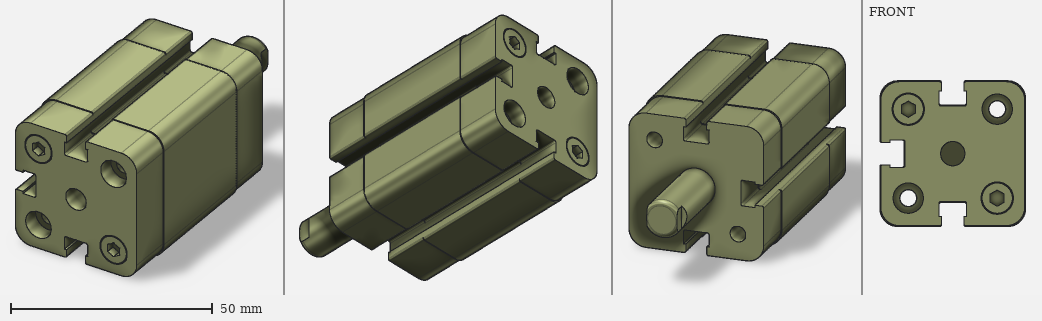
import cadquery as cq
import math

total_length = 82.5
rod_length = 24.4
cap_length = 12.2
front_y = -total_length / 2
rod_tip_y = total_length / 2
body_length = total_length - rod_length
body_back_y = front_y + body_length
barrel_length = body_length - 2 * cap_length

barrel_width = 36.1
cap_inset = 0.25
cap_width = barrel_width - 2 * cap_inset
corner_radius = 4.5

slot_mouth_width = 5.5
slot_inner_width = 6.8
slot_lip_depth = 2.55
slot_depth = 6.0
slot_round = 0.5
slot_angles = (0, 90, 180)

rod_diameter = 10.0
rod_tip_round = 1.2
rod_flat_width = 8.0
rod_flat_length = 3.4
flat_runout = (rod_diameter - rod_flat_width) / 2

bolt_spacing = 22.0
through_diameter = 4.1
counterbore_diameter = 7.5
counterbore_depth = 4.6
screw_head_diameter = 7.5
screw_pocket_diameter = 8.0
screw_pocket_depth = 4.6
hex_across_flats = 3.5
hex_depth = 2.5
center_hole_diameter = 6.0
center_hole_depth = cap_length


def plane_at(y):
    """Section plane at position y whose local axes are X and Z and whose normal is -Y."""
    return cq.Workplane("XZ", origin=(0, y, 0))


def slot_cutter(length, end_y, outer_half, floor_half):
    """Slot on the +Z side, running from end_y towards -Y."""
    lip_half = barrel_width / 2 - slot_lip_depth
    lip_height = outer_half - lip_half
    undercut_height = lip_half - floor_half
    mouth = (
        plane_at(end_y)
        .center(0, lip_half + lip_height / 2)
        .rect(slot_mouth_width, lip_height)
        .extrude(length)
    )
    undercut = (
        plane_at(end_y)
        .center(0, lip_half - undercut_height / 2)
        .rect(slot_inner_width, undercut_height)
        .extrude(length)
        .edges("|Y and <Z")
        .fillet(slot_round)
    )
    return mouth.union(undercut)


def housing_section(width, length, end_y, floor_half):
    """Rounded square bar with its slots, running from end_y towards -Y."""
    section = (
        plane_at(end_y)
        .rect(width, width)
        .extrude(length)
        .edges("|Y")
        .fillet(corner_radius)
    )
    cutter = slot_cutter(length, end_y, width / 2, floor_half)
    for angle in slot_angles:
        section = section.cut(cutter.rotate((0, 0, 0), (0, 1, 0), -angle))
    return round_slot_mouths(section, width / 2)


def round_slot_mouths(section, outer_half):
    """Round the two outer edges of every slot mouth."""
    mouth_half = slot_mouth_width / 2
    reach = 0.1
    for angle in slot_angles:
        turn = math.radians(angle)
        for side in (-mouth_half, mouth_half):
            x = side * math.cos(turn) - outer_half * math.sin(turn)
            z = side * math.sin(turn) + outer_half * math.cos(turn)
            near_edge = cq.selectors.BoxSelector(
                (x - reach, -total_length, z - reach),
                (x + reach, total_length, z + reach),
            )
            section = section.edges("|Y").edges(near_edge).fillet(slot_round)
    return section


def make_housing():
    barrel_floor = barrel_width / 2 - slot_depth
    cap_floor = barrel_floor - cap_inset
    barrel_back_y = body_back_y - cap_length
    front_cap_back_y = front_y + cap_length
    rear_cap = housing_section(cap_width, cap_length, body_back_y, cap_floor)
    barrel = housing_section(barrel_width, barrel_length, barrel_back_y, barrel_floor)
    front_cap = housing_section(cap_width, cap_length, front_cap_back_y, cap_floor)
    return rear_cap.union(barrel).union(front_cap)


def make_rod():
    """Rod with a rounded tip, a pair of flats and a 45 degree run-out behind them."""
    rod_radius = rod_diameter / 2
    flat_half = rod_flat_width / 2
    shoulder_y = rod_tip_y - rod_flat_length
    rod = (
        cq.Workplane("XY")
        .moveTo(0, body_back_y)
        .lineTo(rod_radius, body_back_y)
        .lineTo(rod_radius, rod_tip_y - rod_tip_round)
        .radiusArc((rod_radius - rod_tip_round, rod_tip_y), -rod_tip_round)
        .lineTo(0, rod_tip_y)
        .close()
        .revolve(360, (0, 0, 0), (0, 1, 0))
    )
    flat_cutter = (
        cq.Workplane("XY")
        .moveTo(flat_half, rod_tip_y)
        .lineTo(flat_half, shoulder_y)
        .lineTo(rod_radius, shoulder_y - flat_runout)
        .lineTo(rod_radius, rod_tip_y)
        .close()
        .extrude(rod_radius, both=True)
    )
    return rod.cut(flat_cutter).cut(flat_cutter.mirror("YZ"))


def front_hole(x, z, diameter, depth):
    """Cylinder sunk into the front face."""
    return plane_at(front_y).center(x, z).circle(diameter / 2).extrude(-depth)


def cut_counterbored_hole(part, x, z):
    part = part.cut(front_hole(x, z, through_diameter, body_length))
    return part.cut(front_hole(x, z, counterbore_diameter, counterbore_depth))


def add_screw(part, x, z):
    """Flush socket-head screw standing in a slightly larger pocket."""
    hex_corner_radius = hex_across_flats / math.sqrt(3)
    hex_corners = []
    for index in range(6):
        angle = math.radians(90 + 60 * index)
        corner_x = hex_corner_radius * math.cos(angle)
        corner_z = hex_corner_radius * math.sin(angle)
        hex_corners.append((corner_x, corner_z))
    head = front_hole(x, z, screw_head_diameter, screw_pocket_depth)
    gap = front_hole(x, z, screw_pocket_diameter, screw_pocket_depth).cut(head)
    socket = plane_at(front_y).center(x, z).polyline(hex_corners).close().extrude(-hex_depth)
    return part.cut(gap).cut(socket)


bolt_half = bolt_spacing / 2
result = make_housing().union(make_rod())
result = result.cut(front_hole(0, 0, center_hole_diameter, center_hole_depth))
for side in (-1, 1):
    result = cut_counterbored_hole(result, side * bolt_half, side * bolt_half)
    result = add_screw(result, side * bolt_half, -side * bolt_half)